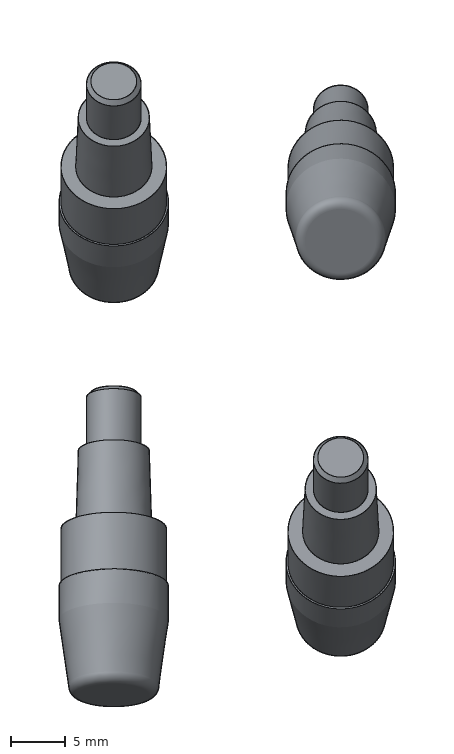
import cadquery as cq

total_height = 29.1
nose_radius = 0.87
taper_top = 7.2
collar_top = 10.5
sleeve_top = 16.0
neck_top = 23.5

collar_radius = 5.0
sleeve_radius = 4.83
nose_end_radius = 4.13
neck_base_radius = 3.5
neck_end_radius = 3.25
pin_radius = 2.5

bevel_width = 0.4
bevel_height = 0.4


def revolve_about_z(profile):
    """Turn a closed radius-height profile into a solid of revolution about Z."""
    return profile.close().revolve(360, (0, 0, 0), (0, 1, 0))


def make_housing():
    """Round-nosed housing: tapered nose, collar and straight sleeve with a flat top."""
    return revolve_about_z(
        cq.Workplane("XZ")
        .lineTo(nose_end_radius - nose_radius, 0)
        .radiusArc((nose_end_radius, nose_radius), -nose_radius)
        .lineTo(collar_radius, taper_top)
        .lineTo(collar_radius, collar_top)
        .lineTo(sleeve_radius, collar_top)
        .lineTo(sleeve_radius, sleeve_top)
        .lineTo(0, sleeve_top)
    )


def make_pin():
    """Stepped pin standing on the sleeve: conical neck below a bevelled cylinder."""
    return revolve_about_z(
        cq.Workplane("XZ")
        .moveTo(0, sleeve_top)
        .lineTo(neck_base_radius, sleeve_top)
        .lineTo(neck_end_radius, neck_top)
        .lineTo(pin_radius, neck_top)
        .lineTo(pin_radius, total_height - bevel_height)
        .lineTo(pin_radius - bevel_width, total_height)
        .lineTo(0, total_height)
    )


housing = make_housing()
pin = make_pin()

result = cq.Compound.makeCompound([housing.val(), pin.val()])